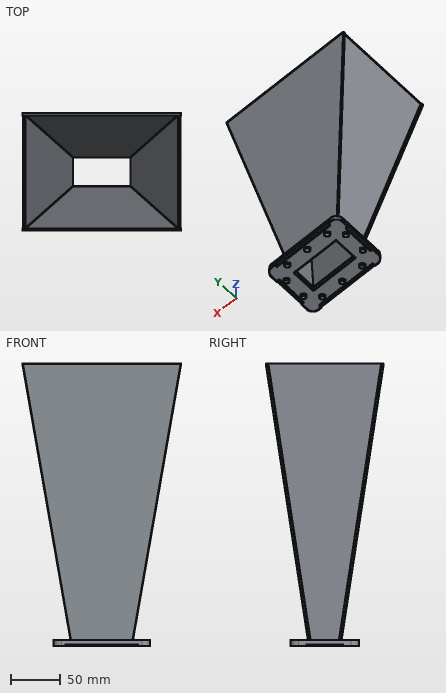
import cadquery as cq
import math

MOUTH_WIDTH = 161.7
MOUTH_DEPTH = 120.07
TOTAL_HEIGHT = 288.04

FLANGE_LENGTH = 98.4
FLANGE_WIDTH = 69.9
FLANGE_THICKNESS = 6.35
FLANGE_CORNER_RADIUS = 8.0
THROAT_LENGTH = 58.17
THROAT_WIDTH = 29.08

HOLE_DIAMETER = 6.35
LONG_SIDE_HOLE_Y = 26.3
LONG_SIDE_HOLE_PITCH = 27.6
SHORT_SIDE_HOLE_X = 41.1
SHORT_SIDE_HOLE_PITCH = 25.5

RELIEF_HEIGHT = 1.6
RELIEF_DEPTH = 3.0
LONG_RELIEF_LENGTH = 74.0
SHORT_RELIEF_LENGTH = 37.0

PLATE_THICKNESS = 2.54
BROAD_FOOT_WIDTH = 63.5
SIDE_INSET = 0.7

plate_rise = TOTAL_HEIGHT - FLANGE_THICKNESS

broad_lean = math.atan2(MOUTH_DEPTH / 2 - PLATE_THICKNESS - THROAT_WIDTH / 2, plate_rise)
broad_mouth_inner = MOUTH_DEPTH / 2 - PLATE_THICKNESS * math.cos(broad_lean)
broad_outer_drop = PLATE_THICKNESS * math.sin(broad_lean)
broad_foot_run = PLATE_THICKNESS / math.cos(broad_lean)

side_mouth_outer = MOUTH_WIDTH / 2 - SIDE_INSET
side_lean = math.atan2(side_mouth_outer - PLATE_THICKNESS - THROAT_LENGTH / 2, plate_rise)
side_level_run = PLATE_THICKNESS / math.cos(side_lean)


def prism(plane, outline, length):
    """Closed outline extruded evenly to both sides of its plane."""
    return cq.Workplane(plane).polyline(outline).close().extrude(length / 2, both=True)


def trapezoid(foot_half, mouth_half):
    """Symmetric outline from the flange top up to the mouth."""
    return [
        (-foot_half, FLANGE_THICKNESS),
        (foot_half, FLANGE_THICKNESS),
        (mouth_half, TOTAL_HEIGHT),
        (-mouth_half, TOTAL_HEIGHT),
    ]


def make_broad_plate():
    """Plate on the +Y side: a leaning slab trimmed to a trapezoid."""
    inner = THROAT_WIDTH / 2
    section = [
        (inner, FLANGE_THICKNESS),
        (inner + broad_foot_run, FLANGE_THICKNESS),
        (MOUTH_DEPTH / 2, TOTAL_HEIGHT - broad_outer_drop),
        (broad_mouth_inner, TOTAL_HEIGHT),
    ]
    slab = prism("YZ", section, MOUTH_WIDTH)
    face_outline = prism("XZ", trapezoid(BROAD_FOOT_WIDTH / 2, MOUTH_WIDTH / 2), MOUTH_DEPTH)
    return slab.intersect(face_outline)


def make_side_plate():
    """Plate on the +X side: a leaning slab filling the gap between the broad plates."""
    inner = THROAT_LENGTH / 2
    section = [
        (inner, FLANGE_THICKNESS),
        (inner + side_level_run, FLANGE_THICKNESS),
        (side_mouth_outer, TOTAL_HEIGHT),
        (side_mouth_outer - side_level_run, TOTAL_HEIGHT),
    ]
    slab = prism("XZ", section, MOUTH_DEPTH)
    gap = prism("YZ", trapezoid(THROAT_WIDTH / 2, broad_mouth_inner), MOUTH_WIDTH)
    return slab.intersect(gap)


def bolt_hole_centres():
    centres = []
    for side in (-1, 1):
        for step in (-1, 0, 1):
            centres.append((step * LONG_SIDE_HOLE_PITCH, side * LONG_SIDE_HOLE_Y))
        for step in (-0.5, 0.5):
            centres.append((side * SHORT_SIDE_HOLE_X, step * SHORT_SIDE_HOLE_PITCH))
    return centres


def edge_reliefs():
    """Cutters for all four edges, each straddling its edge so it cuts inward by the relief depth."""
    straddle = 2 * RELIEF_DEPTH
    half_length = FLANGE_LENGTH / 2
    half_width = FLANGE_WIDTH / 2
    long_edges = (
        cq.Workplane("XY")
        .pushPoints([(0, -half_width), (0, half_width)])
        .rect(LONG_RELIEF_LENGTH, straddle)
        .extrude(RELIEF_HEIGHT)
    )
    short_edges = (
        cq.Workplane("XY")
        .pushPoints([(-half_length, 0), (half_length, 0)])
        .rect(straddle, SHORT_RELIEF_LENGTH)
        .extrude(RELIEF_HEIGHT)
    )
    return long_edges.add(short_edges).combine()


def make_flange():
    plate = (
        cq.Workplane("XY")
        .rect(FLANGE_LENGTH, FLANGE_WIDTH)
        .extrude(FLANGE_THICKNESS)
        .edges("|Z")
        .fillet(FLANGE_CORNER_RADIUS)
    )
    throat = cq.Workplane("XY").rect(THROAT_LENGTH, THROAT_WIDTH).extrude(FLANGE_THICKNESS)
    holes = (
        cq.Workplane("XY")
        .pushPoints(bolt_hole_centres())
        .circle(HOLE_DIAMETER / 2)
        .extrude(FLANGE_THICKNESS)
    )
    return plate.cut(throat).cut(holes).cut(edge_reliefs())


def opposite_pair(plate):
    """The plate and its copy turned half a turn about the horn axis."""
    return [plate.rotate((0, 0, 0), (0, 0, 1), angle).val() for angle in (0, 180)]


flange = make_flange()
broad_plates = opposite_pair(make_broad_plate())
side_plates = opposite_pair(make_side_plate())

result = cq.Compound.makeCompound([flange.val(), *broad_plates, *side_plates])